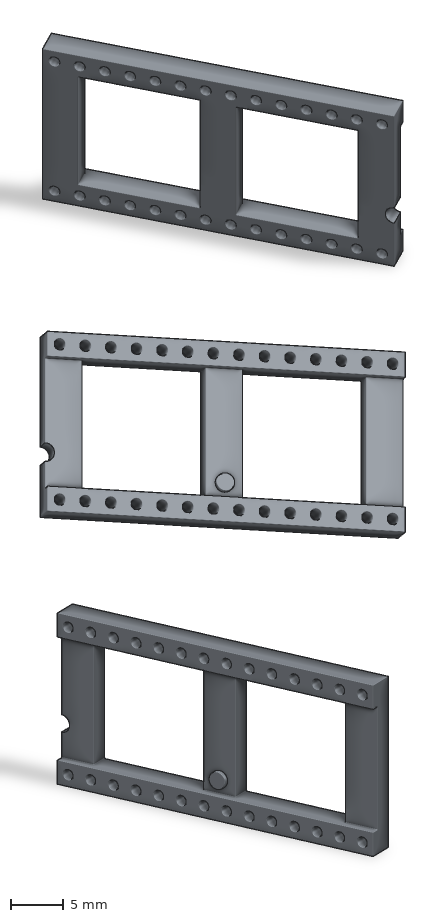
import cadquery as cq

length = 35.5
thickness = 2.8
height = 17.7

channel_height = 12.7
channel_depth = 0.8

window_width = 12.25
middle_bar_width = 3.65
window_offset = (middle_bar_width + window_width) / 2

pin_count = 14
pin_row_length = 33.0
pin_pitch = pin_row_length / (pin_count - 1)
row_spacing_pitches = 6
row_spacing = row_spacing_pitches * pin_pitch
pin_diameter = 1.05

edge_radius = 0.07

notch_diameter = 1.8
notch_z = -2.85

boss_diameter = 1.8
boss_height = 0.5
boss_z = -4.85

channel_floor_y = thickness - channel_depth


def front_plane():
    """Sketch plane on the front face: x runs along X, y runs along Z, normal towards -Y."""
    return cq.Workplane("XZ")


def make_frame():
    channel = (
        cq.Workplane("XZ", origin=(0, channel_floor_y, 0))
        .rect(length, channel_height)
        .extrude(-channel_depth)
    )
    return front_plane().rect(length, height).extrude(-thickness).cut(channel)


def make_windows():
    centers = [(-window_offset, 0), (window_offset, 0)]
    return front_plane().pushPoints(centers).rect(window_width, channel_height).extrude(-thickness)


def make_pin_holes():
    return (
        front_plane()
        .rarray(pin_pitch, row_spacing, pin_count, 2)
        .circle(pin_diameter / 2)
        .extrude(-thickness)
    )


def make_notch():
    return front_plane().center(length / 2, notch_z).circle(notch_diameter / 2).extrude(-thickness)


def make_boss():
    return (
        cq.Workplane("XZ", origin=(0, channel_floor_y, boss_z))
        .circle(boss_diameter / 2)
        .extrude(-boss_height)
        .faces(">Y")
        .edges()
        .fillet(edge_radius)
    )


def make_socket():
    body = make_frame().cut(make_windows()).edges().fillet(edge_radius)
    body = body.cut(make_pin_holes())
    pin_hole_rims = body.faces("<Y or >Y").edges("%CIRCLE")
    return pin_hole_rims.fillet(edge_radius)


result = make_socket().cut(make_notch()).union(make_boss())